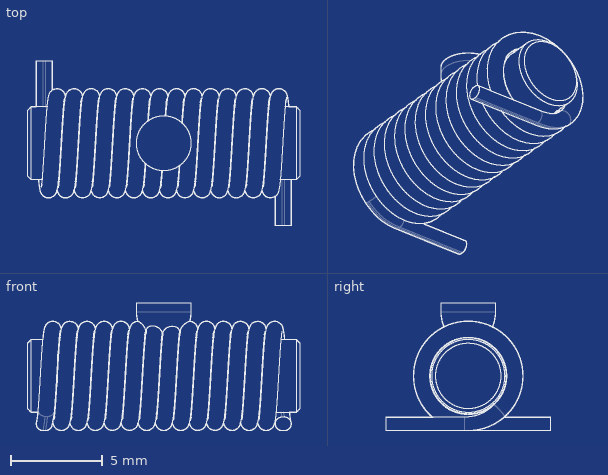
import cadquery as cq
import math

CORE_LENGTH = 14.9
CORE_DIAMETER = 4.0
CORE_CHAMFER = 0.21

COIL_OUTER_RADIUS = 3.0
WIRE_RADIUS = 0.45
COIL_RADIUS = COIL_OUTER_RADIUS - WIRE_RADIUS
COIL_PITCH = 0.933
COIL_TURNS = 14
BEND_ANGLE = 42

LEAD_WIDTH = 0.88
LEAD_HEIGHT = 0.75
LEAD_X = COIL_PITCH * COIL_TURNS / 2
LEAD_Z = LEAD_HEIGHT / 2 - COIL_OUTER_RADIUS
LEAD_INNER_Y = 0.21
LEAD_OUTER_Y = 4.5

SLEEVE_LENGTH = 11.62
SLEEVE_RADIUS = 2.09
CAP_RADIUS = 3.0 / 2
CAP_TOP_Z = 4.0
CAP_RIM_HEIGHT = 0.49
CAP_DOME_DEPTH = 1.79


def make_core():
    rod_start = (-CORE_LENGTH / 2, 0, 0)
    rod = cq.Workplane("YZ", origin=rod_start).circle(CORE_DIAMETER / 2).extrude(CORE_LENGTH)
    return rod.faces("<X or >X").chamfer(CORE_CHAMFER)


def coil_start():
    """Point and direction of the wire's centreline where the helix begins."""
    angle = math.radians(BEND_ANGLE)
    rise_per_radian = COIL_PITCH / (2 * math.pi)
    point = cq.Vector(
        -LEAD_X + rise_per_radian * angle,
        -COIL_RADIUS * math.sin(angle),
        -COIL_RADIUS * math.cos(angle),
    )
    direction = cq.Vector(
        rise_per_radian,
        -COIL_RADIUS * math.cos(angle),
        COIL_RADIUS * math.sin(angle),
    )
    return point, direction.normalized()


def make_helix():
    point, direction = coil_start()
    length = COIL_PITCH * (COIL_TURNS - 2 * BEND_ANGLE / 360)
    path = cq.Wire.makeHelix(COIL_PITCH, length, COIL_RADIUS, lefthand=True)
    path = path.rotate(cq.Vector(), cq.Vector(0, 1, 0), 90)
    path = path.rotate(cq.Vector(), cq.Vector(1, 0, 0), -BEND_ANGLE)
    path = path.translate(cq.Vector(point.x, 0, 0))
    section = cq.Workplane(cq.Plane(point, cq.Vector(1, 0, 0), direction)).circle(WIRE_RADIUS)
    return section.sweep(cq.Workplane(path), isFrenet=True)


def flattened_section(plane, width, height):
    """Outline with flats above and below and a half circle on each side."""
    radius = height / 2
    flat = (width - height) / 2
    return (
        cq.Workplane(plane)
        .moveTo(-flat, -radius)
        .lineTo(flat, -radius)
        .threePointArc((flat + radius, 0), (flat, radius))
        .lineTo(-flat, radius)
        .threePointArc((-flat - radius, 0), (-flat, -radius))
        .close()
    )


def round_section(plane):
    """Wire circle in four arcs that correspond to the sides of the flattened section."""
    flat = (LEAD_WIDTH - LEAD_HEIGHT) / 2
    height = math.sqrt(WIRE_RADIUS**2 - flat**2)
    return (
        cq.Workplane(plane)
        .moveTo(-flat, -height)
        .threePointArc((0, -WIRE_RADIUS), (flat, -height))
        .threePointArc((WIRE_RADIUS, 0), (flat, height))
        .threePointArc((0, WIRE_RADIUS), (-flat, height))
        .threePointArc((-WIRE_RADIUS, 0), (-flat, -height))
        .close()
    )


def make_lead_and_bend():
    """Lead at the -X end, with the bend that joins it to the helix."""
    across = cq.Vector(1, 0, 0)
    bend_start = cq.Vector(-LEAD_X, LEAD_INNER_Y, LEAD_Z)
    lead_direction = cq.Vector(0, -1, 0)
    bend_end, coil_direction = coil_start()
    lead_plane = cq.Plane(bend_start, across, lead_direction)
    coil_plane = cq.Plane(bend_end, across, coil_direction)

    lead_section = flattened_section(lead_plane, LEAD_WIDTH, LEAD_HEIGHT)
    lead = lead_section.extrude(LEAD_INNER_Y - LEAD_OUTER_Y)
    path = cq.Edge.makeSpline([bend_start, bend_end], tangents=[lead_direction, coil_direction])
    bend_sections = [lead_section.val(), round_section(coil_plane).val()]
    bend = cq.Solid.sweep_multi(bend_sections, cq.Wire.assembleEdges([path]))
    return lead.union(cq.Workplane(bend))


def make_coil():
    coil = make_helix()
    for turn in (0, 180):
        coil = coil.union(make_lead_and_bend().rotate((0, 0, 0), (0, 0, 1), turn))
    return coil


def make_cap():
    """Rimmed disc with a half-ellipsoid underside."""
    rim_z = CAP_TOP_Z - CAP_RIM_HEIGHT
    return (
        cq.Workplane("XZ")
        .moveTo(0, CAP_TOP_Z)
        .lineTo(CAP_RADIUS, CAP_TOP_Z)
        .lineTo(CAP_RADIUS, rim_z)
        .ellipseArc(CAP_RADIUS, CAP_DOME_DEPTH, 270, 360, sense=-1)
        .close()
        .revolve(360, (0, 0, 0), (0, 1, 0))
    )


def make_carrier(core, coil):
    """Sleeve and cap in one piece, hollowed to fit the core and the coil."""
    sleeve_start = (-SLEEVE_LENGTH / 2, 0, 0)
    sleeve = cq.Workplane("YZ", origin=sleeve_start).circle(SLEEVE_RADIUS).extrude(SLEEVE_LENGTH)
    return make_cap().cut(coil).union(sleeve).cut(core)


core = make_core()
coil = make_coil()
carrier = make_carrier(core, coil)
bodies = [core, coil, carrier]
result = cq.Compound.makeCompound([body.solids().val() for body in bodies])